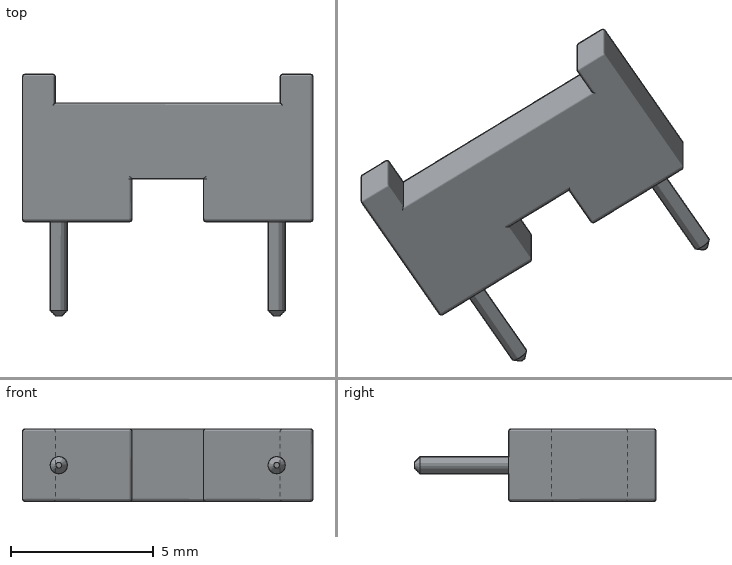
import cadquery as cq

PITCH = 2.54
body_width = 4 * PITCH
body_depth = 5.16
body_height = PITCH
edge_radius = 0.1

notch_width = 2.5
notch_depth = 1.5

leg_width = 1.15
recess_width = body_width - 2 * leg_width
recess_depth = 1.0

pin_diameter = 0.6
pin_length = 3.3
pin_spacing = 3 * PITCH
pin_tip_chamfer = 0.2

SELECT_MARGIN = 0.01


def full_height_box(width, y_start, y_end):
    """Box as tall as the body, centred on X = 0."""
    return (
        cq.Workplane("XY")
        .box(width, y_end - y_start, body_height, centered=(True, False, True))
        .translate((0, y_start, 0))
    )


def floor_selector(width, y):
    """Selector for the edges that bound a notch or recess floor at the given Y."""
    half_width = width / 2 + SELECT_MARGIN
    return cq.selectors.BoxSelector(
        (-half_width, y - SELECT_MARGIN, -body_height),
        (half_width, y + SELECT_MARGIN, body_height),
    )


def make_body():
    """Block with a front notch and a rear recess, edges rounded except where noted."""
    block = full_height_box(body_width, 0, body_depth)
    block = block.cut(full_height_box(notch_width, 0, notch_depth))
    block = block.cut(full_height_box(recess_width, body_depth - recess_depth, body_depth))

    upright = cq.selectors.StringSyntaxSelector("|Z")
    notch_floor = floor_selector(notch_width, notch_depth)
    recess_floor = floor_selector(recess_width, body_depth - recess_depth)
    inside_corners = upright & (notch_floor + recess_floor)
    above_middle = cq.selectors.BoxSelector(
        (-body_width, 0, SELECT_MARGIN),
        (body_width, body_depth, body_height),
    )
    every_edge = cq.selectors.StringSyntaxSelector("|X or |Y or |Z")
    rounded = every_edge - inside_corners - (notch_floor & above_middle)
    return block.edges(rounded).fillet(edge_radius)


def make_pin(x):
    """Round pin with a chamfered tip, standing on the front face."""
    return (
        cq.Workplane("XZ")
        .center(x, 0)
        .circle(pin_diameter / 2)
        .extrude(pin_length)
        .faces("<Y")
        .chamfer(pin_tip_chamfer)
    )


result = make_body()
for side in (-1, 1):
    result = result.union(make_pin(side * pin_spacing / 2))